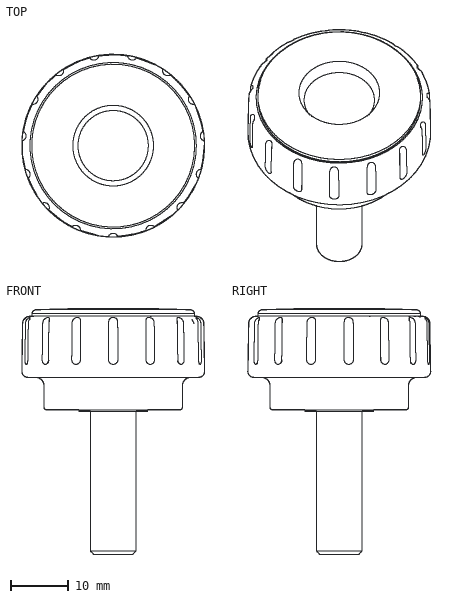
import cadquery as cq
import math

top_height = 42.95
collar_bottom = 25.0
hub_bottom = 25.25
grip_bottom = 30.9
grip_top = 41.6

grip_radius = 15.97
grip_top_radius = 15.85
grip_lower_fillet = 1.07
grip_upper_fillet = 1.3

hub_radius = 12.1
hub_root_fillet = 1.4
hub_edge_fillet = 0.5

cap_radius = 14.2
cap_edge_rise = 0.5
cap_face_radius = 13.2
cap_face_height = 42.75
cap_gap = 0.3
cap_gap_depth = 0.15

recess_radius = 7.05
recess_floor_radius = 6.15
recess_depth = 2.0

flute_count = 15
flute_radius = 0.85
flute_bottom_center = 34.05
flute_circle_radius = 16.15

stud_radius = 4.0
stud_chamfer = 0.65
collar_radius = 6.0


def make_knob_blank():
    """Revolve the hub, grip, cap and tapered recess as one profile."""
    gap_radius = cap_radius + cap_gap
    gap_floor = grip_top - cap_gap_depth
    cap_edge_height = grip_top + cap_edge_rise
    recess_floor = top_height - recess_depth
    diagonal = math.sqrt(0.5)
    profile = (
        cq.Workplane("XZ")
        .moveTo(0, hub_bottom)
        .lineTo(hub_radius - hub_edge_fillet, hub_bottom)
        .radiusArc((hub_radius, hub_bottom + hub_edge_fillet), -hub_edge_fillet)
        .lineTo(hub_radius, grip_bottom - hub_root_fillet)
        .radiusArc((hub_radius + hub_root_fillet, grip_bottom), hub_root_fillet)
        .lineTo(grip_radius - grip_lower_fillet, grip_bottom)
        .radiusArc((grip_radius, grip_bottom + grip_lower_fillet), -grip_lower_fillet)
        .lineTo(grip_top_radius, grip_top - grip_upper_fillet)
        .threePointArc(
            (
                grip_top_radius - grip_upper_fillet * (1 - diagonal),
                grip_top - grip_upper_fillet * (1 - diagonal),
            ),
            (grip_top_radius - grip_upper_fillet, grip_top),
        )
        .lineTo(gap_radius, grip_top)
        .lineTo(gap_radius, gap_floor)
        .lineTo(cap_radius, gap_floor)
        .lineTo(cap_radius, cap_edge_height)
        .threePointArc(
            (
                cap_face_radius + (cap_radius - cap_face_radius) * diagonal,
                cap_edge_height + (cap_face_height - cap_edge_height) * diagonal,
            ),
            (cap_face_radius, cap_face_height),
        )
        .lineTo(recess_radius, top_height)
        .lineTo(recess_floor_radius, recess_floor)
        .lineTo(0, recess_floor)
        .close()
    )
    return profile.revolve(360, (0, 0, 0), (0, 1, 0))


def make_flute_cutter(angle):
    """Make a vertical round-ended cutter at one angle around the grip."""
    length = top_height - flute_bottom_center
    shaft = cq.Workplane("XY").circle(flute_radius).extrude(length)
    round_end = cq.Workplane("XY").sphere(flute_radius)
    return (
        shaft.union(round_end)
        .translate((flute_circle_radius, 0, flute_bottom_center))
        .rotate((0, 0, 0), (0, 0, 1), angle)
    )


def make_knob():
    """Cut the evenly spaced flutes, the first one facing -Y."""
    knob = make_knob_blank()
    for index in range(flute_count):
        knob = knob.cut(make_flute_cutter(-90 + index * 360 / flute_count))
    return knob


def make_stud():
    """Make the chamfered stud with a collar seated against the hub."""
    collar = (
        cq.Workplane("XY")
        .workplane(offset=collar_bottom)
        .circle(collar_radius)
        .extrude(hub_bottom - collar_bottom)
    )
    shank = cq.Workplane("XY").circle(stud_radius).extrude(hub_bottom)
    shank = shank.faces("<Z").chamfer(stud_chamfer)
    return shank.union(collar)


knob = make_knob()
stud = make_stud()
result = cq.Compound.makeCompound([knob.solids().val(), stud.solids().val()])